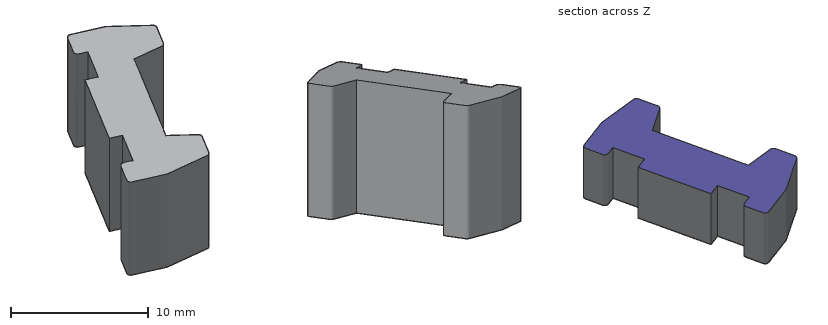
import cadquery as cq
import math

width = 15.2
depth = 6.5
height = 10.0

foot_width = 2.0
pad_width = 6.02
notch_depth = 1.0

straight_side_depth = 3.0
channel_depth = 2.5
channel_floor_width = 7.87
horn_taper_degrees = 15.0

corner_radius = 0.3

half_width = width / 2
front_y = -depth / 2
back_y = depth / 2
notch_y = front_y + notch_depth
shoulder_y = front_y + straight_side_depth
channel_y = back_y - channel_depth
foot_inner_x = half_width - foot_width
taper = math.tan(math.radians(horn_taper_degrees))
horn_outer_x = half_width - (back_y - shoulder_y) * taper
horn_inner_x = channel_floor_width / 2 + channel_depth * taper

right_half = [
    (pad_width / 2, front_y),
    (pad_width / 2, notch_y),
    (foot_inner_x, notch_y),
    (foot_inner_x, front_y),
    (half_width, front_y),
    (half_width, shoulder_y),
    (horn_outer_x, back_y),
    (horn_inner_x, back_y),
    (channel_floor_width / 2, channel_y),
]
left_half = [(-x, y) for x, y in reversed(right_half)]

body = (
    cq.Workplane("XY")
    .polyline(right_half + left_half)
    .close()
    .extrude(height / 2, both=True)
)

rounded_corners = [
    (side * x, y)
    for side in (-1, 1)
    for x, y in (
        (foot_inner_x, front_y),
        (half_width, front_y),
        (horn_outer_x, back_y),
        (horn_inner_x, back_y),
    )
]
corner_edges = cq.Workplane("XY")
for x, y in rounded_corners:
    corner_edges = corner_edges.add(body.edges(cq.NearestToPointSelector((x, y, 0))).vals())

result = cq.Workplane("XY").add(body.val().fillet(corner_radius, corner_edges.vals()))